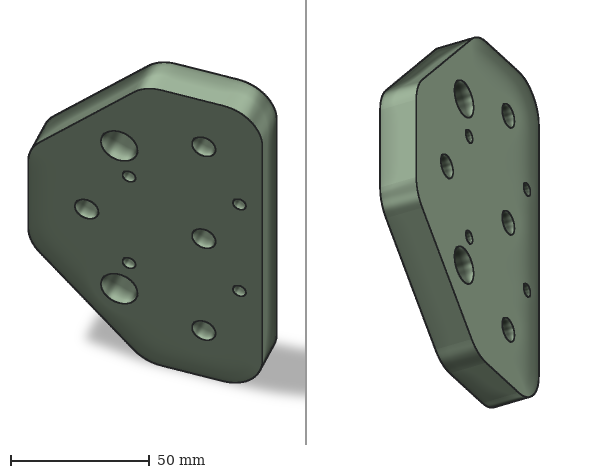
import cadquery as cq

height = 135.0
width = height * 2 / 3
thickness = height / 9
corner_radius = height / 9
bevel = width / 2

medium_diameter = 9.0
medium_x = width / 4
medium_z = height / 3

large_diameter = 14.0
large_x = -10.0
large_z = 35.0

small_diameter = 5.0
small_spacing = 42.4
small_center_x = 15.0


def make_plate():
    """Plate centred on the origin, with two bevelled and all rounded corners."""
    right = width / 2
    top = height / 2
    outline = [
        (right, -top),
        (right, top),
        (bevel - right, top),
        (-right, top - bevel),
        (-right, bevel - top),
        (bevel - right, -top),
    ]
    plate = cq.Workplane("XZ").polyline(outline).close().extrude(thickness / 2, both=True)
    return plate.edges("|Y").fillet(corner_radius)


def make_holes(points, diameter):
    """Cylinders along Y that span the plate thickness."""
    sketch = cq.Workplane("XZ").pushPoints(points).circle(diameter / 2)
    return sketch.extrude(thickness / 2, both=True)


medium_points = [(medium_x, z) for z in (-medium_z, 0, medium_z)] + [(-medium_x, 0)]
large_points = [(large_x, z) for z in (-large_z, large_z)]
small_points = [
    (small_center_x + x_side * small_spacing / 2, z_side * small_spacing / 2)
    for x_side in (-1, 1)
    for z_side in (-1, 1)
]

result = make_plate()
result = result.cut(make_holes(medium_points, medium_diameter))
result = result.cut(make_holes(large_points, large_diameter))
result = result.cut(make_holes(small_points, small_diameter))